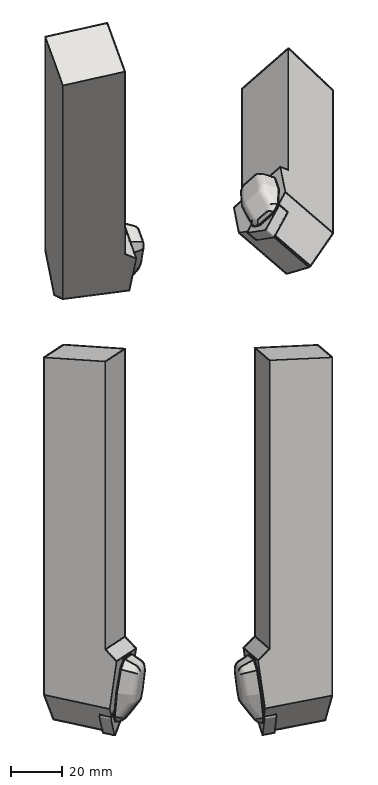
import cadquery as cq
import math

shank_size = 25.3
total_length = 152.4
tilt = 8.3
head_top_z = 32.6
step_top_z = 37.0
flank_setback = 0.8
nose_flat = 0.8

insert_side = 12.6
insert_thickness = 4.9
insert_corner_radius = 0.8
tip_y = 25.1

clamp_height = 7.0
clamp_foot = 0.5
clamp_taper = 20.0
clamp_round = 3.5
clamp_center_x = -1.5
clamp_half_outline = [(4.0, 6.1), (6.7, 8.5), (8.5, 18.7), (7.8, 28.3), (4.9, 32.0)]
clamp_nose_v = 6.1
clamp_nose_lip = 1.8
clamp_nose_top_v = 15.2
clamp_back_v = 32.0
clamp_back_top_v = 31.1

slope = math.tan(math.radians(tilt))
sine = math.sin(math.radians(tilt))
cosine = math.cos(math.radians(tilt))
half_width = shank_size / 2

face_plane = cq.Plane(origin=(0, tip_y, 0), xDir=(-1, 0, 0), normal=(0, cosine, -sine))

corner_loss = insert_corner_radius * (math.sqrt(2) - 1)
insert_center_v = insert_side / math.sqrt(2) - corner_loss


def make_insert():
    return (
        cq.Workplane(face_plane)
        .center(0, insert_center_v)
        .transformed(rotate=(0, 0, 45))
        .rect(insert_side, insert_side)
        .extrude(-insert_thickness)
        .edges(cq.selectors.ParallelDirSelector(face_plane.zDir))
        .fillet(insert_corner_radius)
    )


def make_shank():
    side = (
        cq.Workplane("YZ")
        .moveTo(0, -shank_size)
        .lineTo(0, total_length)
        .lineTo(shank_size, total_length)
        .lineTo(shank_size, step_top_z)
        .lineTo(tip_y + head_top_z * slope, head_top_z)
        .lineTo(tip_y - shank_size * slope, -shank_size)
        .close()
        .extrude(half_width, both=True)
    )
    apex_v = flank_setback * math.sqrt(2) - corner_loss
    nose_half = nose_flat / 2
    shoulder_v = apex_v + half_width
    point = (
        cq.Workplane(face_plane)
        .workplane(offset=-2 * shank_size)
        .moveTo(-nose_half, apex_v + nose_half)
        .lineTo(nose_half, apex_v + nose_half)
        .lineTo(half_width, shoulder_v)
        .lineTo(half_width, 2 * total_length)
        .lineTo(-half_width, 2 * total_length)
        .lineTo(-half_width, shoulder_v)
        .close()
        .extrude(4 * shank_size)
    )
    return side.intersect(point)


def make_clamp():
    center = -clamp_center_x
    one_side = [(center + x, v) for x, v in clamp_half_outline]
    other_side = [(center - x, v) for x, v in reversed(clamp_half_outline)]
    outline = one_side + other_side
    foot = cq.Workplane(face_plane).polyline(outline).close().extrude(clamp_foot)
    walls = (
        cq.Workplane(face_plane)
        .workplane(offset=clamp_foot)
        .polyline(outline)
        .close()
        .extrude(clamp_height - clamp_foot, taper=clamp_taper)
    )
    profile_plane = cq.Plane(origin=(0, tip_y, 0), xDir=face_plane.yDir, normal=(-1, 0, 0))
    profile = (
        cq.Workplane(profile_plane)
        .moveTo(clamp_nose_v, clamp_foot)
        .lineTo(clamp_nose_v, clamp_nose_lip)
        .lineTo(clamp_nose_top_v, clamp_height)
        .lineTo(clamp_back_top_v, clamp_height)
        .lineTo(clamp_back_v, clamp_foot)
        .close()
        .extrude(half_width, both=True)
    )
    top = walls.intersect(profile)
    top_face = top.faces(cq.selectors.DirectionMinMaxSelector(face_plane.zDir))
    nose_middle = face_plane.toWorldCoords((
        center,
        (clamp_nose_v + clamp_nose_top_v) / 2,
        (clamp_nose_lip + clamp_height) / 2,
    ))
    nose_face = top.faces(cq.selectors.NearestToPointSelector(nose_middle.toTuple()))
    nose_lip = cq.selectors.DirectionMinMaxSelector(face_plane.zDir, directionMax=False)
    nose_sides = nose_face.edges(cq.selectors.InverseSelector(nose_lip))
    top = top_face.edges().add(nose_sides).fillet(clamp_round)
    return foot.union(top)


insert = make_insert()
holder = make_shank().cut(insert).union(make_clamp())

result = cq.Compound.makeCompound([holder.val(), insert.val()])